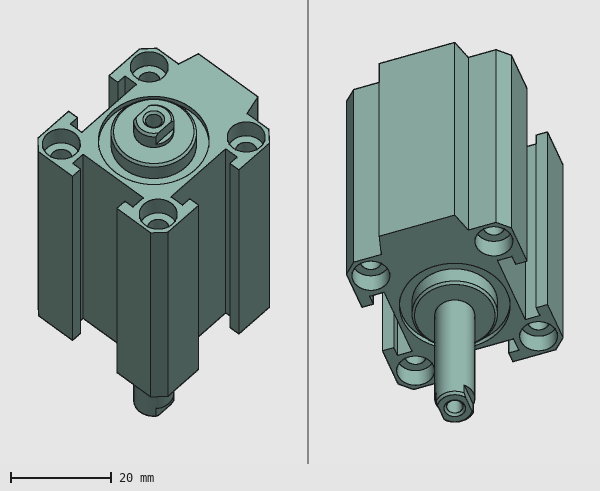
import cadquery as cq

body_height = 54.0
body_half_width = 17.5
corner_chamfer = 2.4
pad_top_y = 22.0
pad_top_half_width = 8.0
pad_base_half_width = 9.2

slot_mouth_half_width = 5.95
slot_inner_half_width = 8.1
slot_lip_thickness = 2.4
slot_floor_offset = 12.0

bolt_offset = 13.0
bolt_hole_diameter = 4.3
counterbore_diameter = 7.5
counterbore_depth = 4.6

collar_diameter = 17.0
collar_height = 3.0
collar_chamfer = 0.5
recess_diameter = 22.0
recess_depth = 1.3

rod_diameter = 8.0
rod_extension_top = 4.0
rod_extension_bottom = 29.0
rod_end_chamfer = 0.5
flat_half_spacing = 3.0
flat_length = 3.0
thread_hole_diameter = 3.3
thread_hole_depth = 8.0
thread_mouth_diameter = 4.3

collar_top_z = body_height + collar_height
rod_top_z = collar_top_z + rod_extension_top
rod_bottom_z = -collar_height - rod_extension_bottom


def profile_body():
    """Chamfered square bar with a tapered pad along its +Y face."""
    body = (
        cq.Workplane("XY")
        .rect(2 * body_half_width, 2 * body_half_width)
        .extrude(body_height)
        .edges("|Z")
        .chamfer(corner_chamfer)
    )
    pad = (
        cq.Workplane("XY")
        .polyline([
            (-pad_base_half_width, body_half_width),
            (-pad_top_half_width, pad_top_y),
            (pad_top_half_width, pad_top_y),
            (pad_base_half_width, body_half_width),
            (pad_base_half_width, 0),
            (-pad_base_half_width, 0),
        ])
        .close()
        .extrude(body_height)
    )
    return body.union(pad)


def t_slot(angle):
    """Full-height T-slot cutter for the -Y face, turned about the rod axis."""
    lip_y = -body_half_width + slot_lip_thickness
    return (
        cq.Workplane("XY")
        .polyline([
            (-slot_mouth_half_width, -body_half_width),
            (slot_mouth_half_width, -body_half_width),
            (slot_mouth_half_width, lip_y),
            (slot_inner_half_width, lip_y),
            (slot_inner_half_width, -slot_floor_offset),
            (-slot_inner_half_width, -slot_floor_offset),
            (-slot_inner_half_width, lip_y),
            (-slot_mouth_half_width, lip_y),
        ])
        .close()
        .extrude(body_height)
        .rotate((0, 0, 0), (0, 0, 1), angle)
    )


def cylinder(diameter, bottom_z, top_z):
    """Round bar on the rod axis between two heights."""
    return cq.Workplane("XY").workplane(offset=bottom_z).circle(diameter / 2).extrude(top_z - bottom_z)


def bolt_cylinders(diameter, bottom_z, top_z):
    """Four equal round cutters on the bolt pattern between two heights."""
    return (
        cq.Workplane("XY")
        .workplane(offset=bottom_z)
        .rect(2 * bolt_offset, 2 * bolt_offset, forConstruction=True)
        .vertices()
        .circle(diameter / 2)
        .extrude(top_z - bottom_z)
    )


def make_housing():
    """Slotted profile with bolt holes and a collar rising from a recess at each end."""
    housing = profile_body()
    for angle in (-90, 0, 90):
        housing = housing.cut(t_slot(angle))

    housing = housing.cut(bolt_cylinders(bolt_hole_diameter, 0, body_height))
    housing = housing.cut(bolt_cylinders(counterbore_diameter, 0, counterbore_depth))
    housing = housing.cut(bolt_cylinders(counterbore_diameter, body_height - counterbore_depth, body_height))

    housing = housing.cut(cylinder(recess_diameter, 0, recess_depth))
    housing = housing.cut(cylinder(recess_diameter, body_height - recess_depth, body_height))

    collars = (
        cylinder(collar_diameter, -collar_height, collar_top_z)
        .faces("<Z or >Z")
        .chamfer(collar_chamfer)
    )
    rod_bore = cylinder(rod_diameter, -collar_height, collar_top_z)
    return housing.union(collars).cut(rod_bore)


def flat_cutter(side, start_z):
    """Block that mills one wrench flat; side is -1 or +1 along X."""
    return (
        cq.Workplane("XY")
        .workplane(offset=start_z)
        .center(side * (flat_half_spacing + rod_diameter / 2), 0)
        .rect(rod_diameter, 2 * rod_diameter)
        .extrude(flat_length)
    )


def end_hole(end_z, inward):
    """Blind hole with a 45 degree countersink; inward is -1 or +1 along Z."""
    hole_radius = thread_hole_diameter / 2
    mouth_radius = thread_mouth_diameter / 2
    countersink_z = end_z + inward * (mouth_radius - hole_radius)
    hole_floor_z = end_z + inward * thread_hole_depth
    return (
        cq.Workplane("XZ")
        .polyline([
            (0, end_z),
            (mouth_radius, end_z),
            (hole_radius, countersink_z),
            (hole_radius, hole_floor_z),
            (0, hole_floor_z),
        ])
        .close()
        .revolve(360, (0, 0), (0, 1))
    )


def make_rod():
    """Through rod with chamfered ends, paired wrench flats and a hole in each end."""
    rod = (
        cylinder(rod_diameter, rod_bottom_z, rod_top_z)
        .faces("<Z or >Z")
        .chamfer(rod_end_chamfer)
    )
    for start_z in (rod_bottom_z, rod_top_z - flat_length):
        for side in (-1, 1):
            rod = rod.cut(flat_cutter(side, start_z))
    for end_z, inward in ((rod_bottom_z, 1), (rod_top_z, -1)):
        rod = rod.cut(end_hole(end_z, inward))
    return rod


housing = make_housing()
rod = make_rod()
result = cq.Compound.makeCompound([housing.val(), rod.val()])